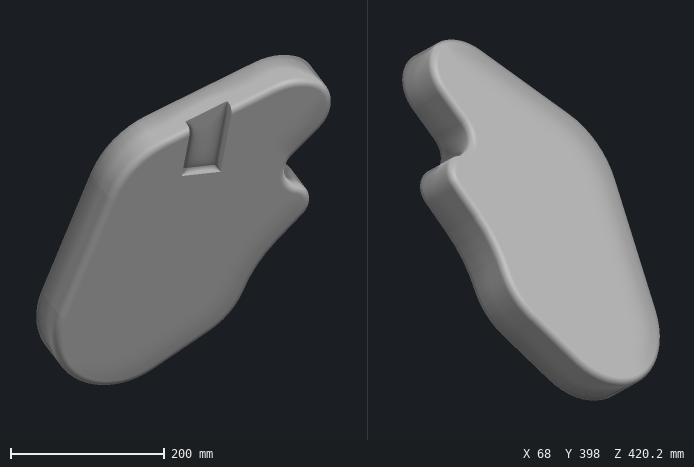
import cadquery as cq
import math

thickness = 68.0
edge_fillet = 10.0

crown_center, crown_radius = (135.0, 130.2), 80.0
shoulder_center, shoulder_radius = (-9.5, 51.5), 120.0
heel_center, heel_radius = (-98.7, -110.0), 100.0
belly_center, belly_radius = (-18.0, -72.5), 100.0
nose_center, nose_radius = (138.2, 8.5), 30.0

tip_radius, tip_angle = 50.0, 61.5
flank_hollow_radius, flank_hollow_angle = 180.0, -22.9
notch_hollow_radius, notch_hollow_angle = 30.0, 66.6

slot_recess = 17.2
slot_corner = (38.0, 94.5)
slot_width = 56.5
slot_lean = 10.0
slot_reach = 126.0

touching = 0.0005


def polar(center, radius, angle):
    """Point at a radius and angle (radians) from a centre."""
    return (center[0] + radius * math.cos(angle), center[1] + radius * math.sin(angle))


def touching_arc(neighbor_center, neighbor_radius, radius, angle_deg):
    """Arc tangent to its neighbour; a negative radius makes a hollow outside the neighbour."""
    center = polar(neighbor_center, neighbor_radius - radius, math.radians(angle_deg))
    return center, radius


def tangent_angle(arc, following):
    """Shared outward angle at which the common tangent leaves one arc and meets the following one."""
    (start, start_radius), (end, end_radius) = arc, following
    dy = end[0] - start[0]
    dz = end[1] - start[1]
    ratio = (start_radius - end_radius) / math.hypot(dy, dz)
    return math.atan2(dz, dy) - math.acos(max(-1.0, min(1.0, ratio)))


def plate_outline(arcs):
    """Closed counterclockwise chain of arcs joined by their common tangents."""
    angles = [tangent_angle(arc, arcs[(i + 1) % len(arcs)]) for i, arc in enumerate(arcs)]
    first_center, first_radius = arcs[0]
    current = polar(first_center, first_radius, angles[-1])
    outline = cq.Workplane("YZ").moveTo(*current)
    for i, (center, radius) in enumerate(arcs):
        turn = math.copysign(1, radius)
        sweep = turn * ((turn * (angles[i] - angles[i - 1])) % (2 * math.pi))
        arc_start = polar(center, radius, angles[i - 1])
        if math.dist(current, arc_start) > touching:
            outline = outline.lineTo(*arc_start)
        current = polar(center, radius, angles[i])
        middle = polar(center, radius, angles[i - 1] + sweep / 2)
        outline = outline.threePointArc(middle, current)
    return outline.close()


def slot_cutter():
    """Leaning rectangular block; its lower +Y corner sits on slot_corner and its top clears the edge."""
    return (
        cq.Workplane("YZ", origin=(thickness - slot_recess, *slot_corner))
        .transformed(rotate=(0, 0, -slot_lean))
        .rect(-slot_width, slot_reach, centered=False)
        .extrude(slot_recess)
    )


outline_arcs = [
    touching_arc(crown_center, crown_radius, tip_radius, tip_angle),
    (crown_center, crown_radius),
    (shoulder_center, shoulder_radius),
    (heel_center, heel_radius),
    (belly_center, belly_radius),
    touching_arc(belly_center, belly_radius, -flank_hollow_radius, flank_hollow_angle),
    (nose_center, nose_radius),
    touching_arc(nose_center, nose_radius, -notch_hollow_radius, notch_hollow_angle),
]

plate = plate_outline(outline_arcs).extrude(thickness)
rounded_plate = plate.faces("<X or >X").edges().fillet(edge_fillet)
result = rounded_plate.cut(slot_cutter())